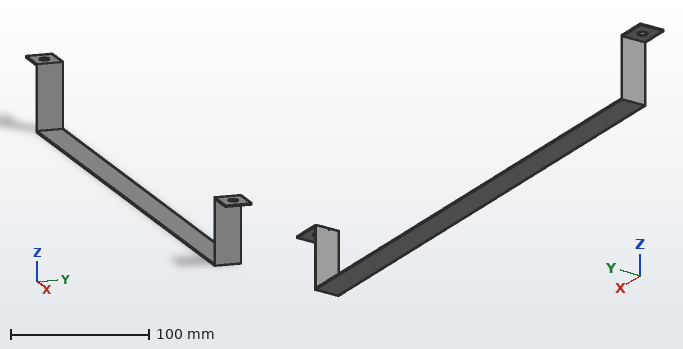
import cadquery as cq

overall_length = 452.0
strap_width = 20.0
overall_height = 51.0

strip_thickness = 1.0
foot_length = 25.0
hole_diameter = 7.0
hole_edge_distance = foot_length / 2

foot_tip_x = overall_length / 2
inner_face_x = foot_tip_x - foot_length
hole_x = foot_tip_x - hole_edge_distance
upright_x = inner_face_x + strip_thickness / 2
top_z = overall_height / 2
strip_offset_z = top_z - strip_thickness / 2


def strip_box(length, height, center_x, center_z):
    """Flat length of the strip, spanning the full strap width."""
    return cq.Workplane("XY").box(length, strap_width, height).translate((center_x, 0, center_z))


def foot_hole(side):
    """Cutter for the vertical mounting hole in one foot."""
    foot_bottom = cq.Workplane("XY").workplane(offset=top_z - strip_thickness)
    return foot_bottom.center(side * hole_x, 0).circle(hole_diameter / 2).extrude(strip_thickness)


bar_length = 2 * (inner_face_x + strip_thickness)
strap = strip_box(bar_length, strip_thickness, 0, -strip_offset_z)

for side in (-1, 1):
    upright = strip_box(strip_thickness, overall_height, side * upright_x, 0)
    foot_center_x = side * (foot_tip_x - foot_length / 2)
    foot = strip_box(foot_length, strip_thickness, foot_center_x, strip_offset_z)
    strap = strap.union(upright).union(foot).cut(foot_hole(side))

result = strap